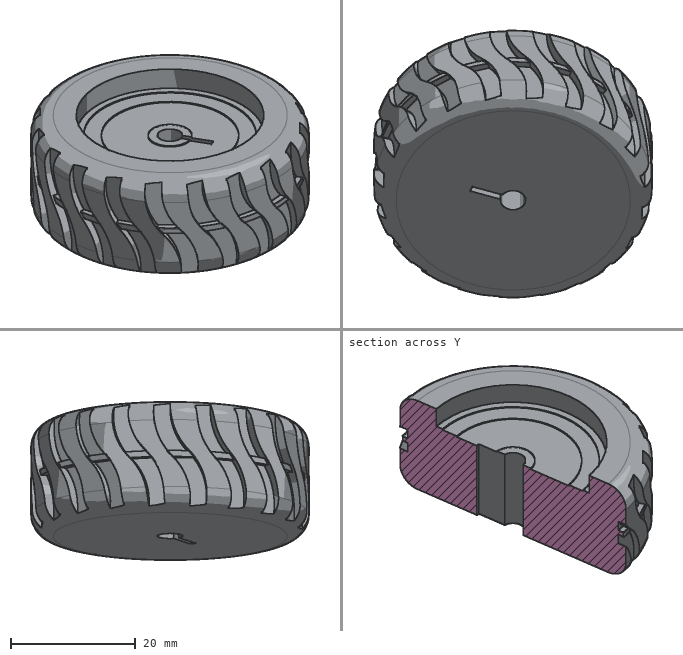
import cadquery as cq
import math

tyre_radius = 22.25
tyre_width = 18.0
shoulder_radius = 3.5

dish_radius = 15.0
dish_depth = 3.5
step_radii = (13.8, 11.0)
step_depth = 0.2
boss_radius = 3.5
boss_height = 0.2

bore_radius = 2.0
slot_end = 7.08
slot_width = 1.0

groove_count = 20
groove_depth = 1.5
groove_arc_radius = 10.0
groove_slant = math.radians(45)
bend_x = 1.35
bend_z = 0.5

rib_width = 1.0
rib_recess = 0.5

half_width = tyre_width / 2
floor_distance = tyre_radius - groove_depth


def make_body():
    body = cq.Workplane("XY").workplane(offset=-half_width).circle(tyre_radius).extrude(tyre_width)
    return body.edges("%CIRCLE").fillet(shoulder_radius)


def disc(radius, bottom, height):
    return cq.Workplane("XY").workplane(offset=bottom).circle(radius).extrude(height)


def make_groove():
    """Groove cutter at -Y. Each edge is two tangent arcs that meet on the slant."""
    center_offset = groove_arc_radius * math.sin(groove_slant)

    left_center = (center_offset - bend_x, center_offset - bend_z)
    right_center = (center_offset + bend_x, center_offset + bend_z)

    def upper_end(center):
        rise = half_width - center[1]
        return (center[0] - math.sqrt(groove_arc_radius**2 - rise**2), half_width)

    left_top = upper_end(left_center)
    right_top = upper_end(right_center)
    left_bottom = (-right_top[0], -right_top[1])
    right_bottom = (-left_top[0], -left_top[1])

    return (
        cq.Workplane("XZ", origin=(0, -floor_distance, 0))
        .moveTo(*left_top)
        .radiusArc((-bend_x, -bend_z), -groove_arc_radius)
        .radiusArc(left_bottom, groove_arc_radius)
        .lineTo(*right_bottom)
        .radiusArc((bend_x, bend_z), -groove_arc_radius)
        .radiusArc(right_top, groove_arc_radius)
        .close()
        .extrude(2 * groove_depth)
    )


def cut_tread(body):
    groove = make_groove()
    pitch = 360 / groove_count
    for i in range(groove_count):
        body = body.cut(groove.rotate((0, 0, 0), (0, 0, 1), i * pitch))
    return body


def add_rib(body):
    return body.union(disc(tyre_radius - rib_recess, -rib_width / 2, rib_width))


def cut_dish(body):
    floor = half_width - dish_depth
    body = body.cut(disc(dish_radius, floor, dish_depth))
    for radius in step_radii:
        floor -= step_depth
        body = body.cut(disc(radius, floor, step_depth))
    return body.union(disc(boss_radius, floor, boss_height))


def cut_axle(body):
    bore = disc(bore_radius, -half_width, tyre_width)
    slot = cq.Workplane("XY").box(slot_end, slot_width, tyre_width, centered=(False, True, True))
    return body.cut(bore).cut(slot)


wheel = cut_tread(make_body())
wheel = add_rib(wheel)
wheel = cut_dish(wheel)
result = cut_axle(wheel)